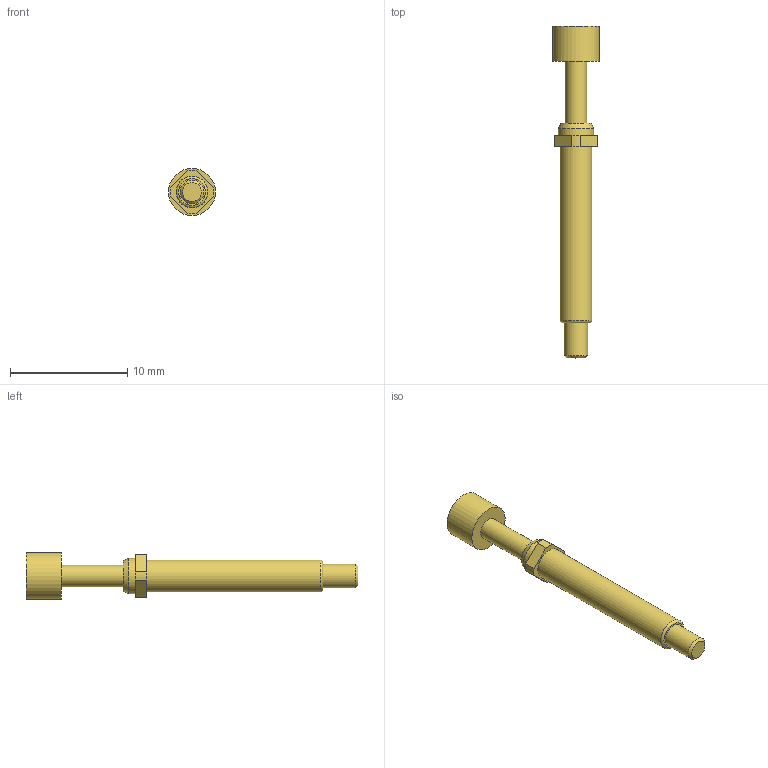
import cadquery as cq

PIN_LENGTH = 3.0
BARREL_LENGTH = 15.0
COLLAR_THICKNESS = 1.0
NECK_LENGTH = 0.55
CONE_LENGTH = 0.45
PLUNGER_LENGTH = 5.3
HEAD_LENGTH = 3.0

PIN_DIAMETER = 2.0
BARREL_DIAMETER = 2.7
COLLAR_DIAMETER = 3.7
NECK_DIAMETER = 3.0
CONE_END_DIAMETER = 2.65
PLUNGER_DIAMETER = 1.85
HEAD_DIAMETER = 4.0

COLLAR_ACROSS_FLATS = 3.08
PIN_END_CHAMFER = 0.2
BARREL_END_FILLET = 0.2

BARREL_END = -BARREL_LENGTH
NECK_START = COLLAR_THICKNESS
CONE_START = NECK_START + NECK_LENGTH
PLUNGER_START = CONE_START + CONE_LENGTH
HEAD_START = PLUNGER_START + PLUNGER_LENGTH


def cylinder(diameter, start, length):
    """Cylinder on the Y axis running from start towards +Y."""
    base = cq.Workplane("XZ", origin=(0, start, 0))
    return base.circle(diameter / 2).extrude(-length)


def pin():
    """Contact pin with a chamfered tip."""
    rod = cylinder(PIN_DIAMETER, BARREL_END - PIN_LENGTH, PIN_LENGTH)
    return rod.faces("<Y").chamfer(PIN_END_CHAMFER)


def barrel():
    """Long barrel with a rounded rim where the pin leaves it."""
    rod = cylinder(BARREL_DIAMETER, BARREL_END, BARREL_LENGTH)
    return rod.faces("<Y").fillet(BARREL_END_FILLET)


def collar():
    """Round collar with four flats at 45 degrees to X and Z."""
    disc = cylinder(COLLAR_DIAMETER, 0, COLLAR_THICKNESS)
    square = (
        cq.Workplane("XZ")
        .rect(COLLAR_ACROSS_FLATS, COLLAR_ACROSS_FLATS)
        .extrude(-COLLAR_THICKNESS)
        .rotate((0, 0, 0), (0, 1, 0), 45)
    )
    return disc.intersect(square)


def neck_cone():
    """Tapered lip that leads from the neck to the plunger."""
    half_profile = [
        (0, CONE_START),
        (NECK_DIAMETER / 2, CONE_START),
        (CONE_END_DIAMETER / 2, PLUNGER_START),
        (0, PLUNGER_START),
    ]
    return cq.Workplane("XY").polyline(half_profile).close().revolve(360, (0, 0), (0, 1))


neck = cylinder(NECK_DIAMETER, NECK_START, NECK_LENGTH)
plunger = cylinder(PLUNGER_DIAMETER, PLUNGER_START, PLUNGER_LENGTH)
head = cylinder(HEAD_DIAMETER, HEAD_START, HEAD_LENGTH)

result = pin()
for section in (barrel(), collar(), neck, neck_cone(), plunger, head):
    result = result.union(section)